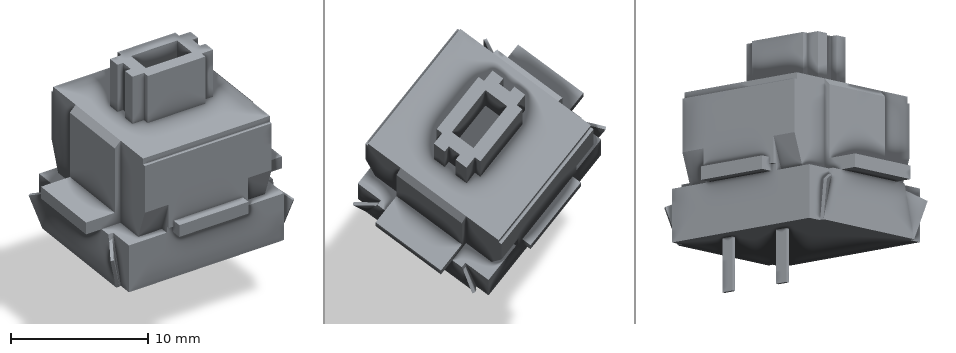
import cadquery as cq

overall_height = 19.0
base_bottom = 4.0
deck = 8.0
flange_top = 9.0
wing_bottom = (deck + flange_top) / 2
recess_top = 10.5
wing_top = 14.5
housing_top = 15.0

body_width = 12.0
housing_length = 11.0
wing_width = 12.5
panel_width = 6.0
panel_length = 12.0
panel_chamfer = (panel_length - housing_length) / 2

column_width = 6.88
recess_foot_x = 5.35

flange_span_x = 14.0
flange_span_y = 17.0

base_length = 13.45
plate_span = 14.29
plate_top_width = 7.75
plate_bottom_width = 9.85

tab_thickness = 0.25
tab_hinge_top = 7.49
tab_tip = cq.Vector(-5.47, -7.98, 6.82)
tab_root_overlap = 0.15

stem_width = 4.0
stem_core_length = 5.0
post_span_width = 3.0
post_span_length = 7.0
notch_width = 1.0
notch_depth = 0.5
socket_width = 2.0
socket_length = 4.0

pin_thickness = 0.28
pin_width = 1.0
pin_y = 2.5
pin_plane_x = -4.39


def block(size_x, size_y, bottom, top):
    """Box centred on the Z axis, between two levels."""
    box = cq.Workplane("XY").workplane(offset=bottom)
    return box.rect(size_x, size_y).extrude(top - bottom)


def make_housing():
    body = block(body_width, housing_length, deck, housing_top)
    wings = block(wing_width, housing_length, wing_bottom, wing_top)
    panels = block(panel_width, panel_length, deck, housing_top)
    panels = panels.faces(">Z").edges("|X").chamfer(panel_chamfer)
    return body.union(wings).cut(make_undercuts()).union(panels)


def make_undercuts():
    """Sloped recesses at the four lower corners of the wings."""
    half_wing = wing_width / 2
    slope = (
        cq.Workplane("XZ")
        .moveTo(half_wing, recess_top)
        .lineTo(recess_foot_x, deck)
        .lineTo(half_wing, deck)
        .close()
        .extrude(housing_length / 2, both=True)
    )
    slope = slope.cut(block(wing_width, column_width, deck, recess_top))
    return slope.union(slope.mirror("YZ"))


def make_flanges():
    side_flanges = block(flange_span_x, panel_width, deck, flange_top)
    end_flanges = block(panel_width, flange_span_y, deck, flange_top)
    return side_flanges.union(end_flanges)


def make_base():
    core = block(body_width, base_length, base_bottom, deck)
    plates = (
        cq.Workplane("XZ")
        .moveTo(-plate_top_width / 2, deck)
        .lineTo(plate_top_width / 2, deck)
        .lineTo(plate_bottom_width / 2, base_bottom)
        .lineTo(-plate_bottom_width / 2, base_bottom)
        .close()
        .extrude(plate_span / 2, both=True)
    )
    return core.union(plates)


def plate_edge_point(level):
    """Point on the slanted front-left edge of the end plate."""
    drop = (deck - level) / (deck - base_bottom)
    width = plate_top_width + drop * (plate_bottom_width - plate_top_width)
    return cq.Vector(-width / 2, -plate_span / 2, level)


def make_tabs():
    """Triangular sheet tabs on all four slanted edges."""
    hinge_top = plate_edge_point(tab_hinge_top)
    hinge_bottom = plate_edge_point(base_bottom)
    root_shift = (hinge_top - tab_tip) * tab_root_overlap
    outline = cq.Wire.makePolygon(
        [hinge_top + root_shift, hinge_bottom + root_shift, hinge_bottom, tab_tip],
        close=True,
    )
    inward = (hinge_bottom - hinge_top).cross(tab_tip - hinge_top).normalized()
    tab = cq.Workplane(cq.Solid.extrudeLinear(outline, [], inward * tab_thickness))
    front_pair = tab.union(tab.mirror("YZ"))
    return front_pair.union(front_pair.mirror("XZ"))


def make_stem():
    core = block(stem_width, stem_core_length, housing_top, overall_height)
    posts = block(post_span_width, post_span_length, housing_top, overall_height)
    notches = (
        cq.Workplane("XY")
        .workplane(offset=housing_top)
        .pushPoints([(0, side * (post_span_length - notch_depth) / 2) for side in (-1, 1)])
        .rect(notch_width, notch_depth)
        .extrude(overall_height - housing_top)
    )
    socket = block(socket_width, socket_length, housing_top, overall_height)
    return core.union(posts).cut(notches).cut(socket)


def make_pins():
    pins = cq.Workplane("XY")
    for side in (-1, 1):
        center = (pin_plane_x - side * pin_thickness / 2, side * pin_y)
        pins = pins.union(
            cq.Workplane("XY").center(*center).rect(pin_thickness, pin_width).extrude(base_bottom)
        )
    return pins


result = (
    make_base()
    .union(make_tabs())
    .union(make_housing())
    .union(make_flanges())
    .union(make_stem())
    .union(make_pins())
)